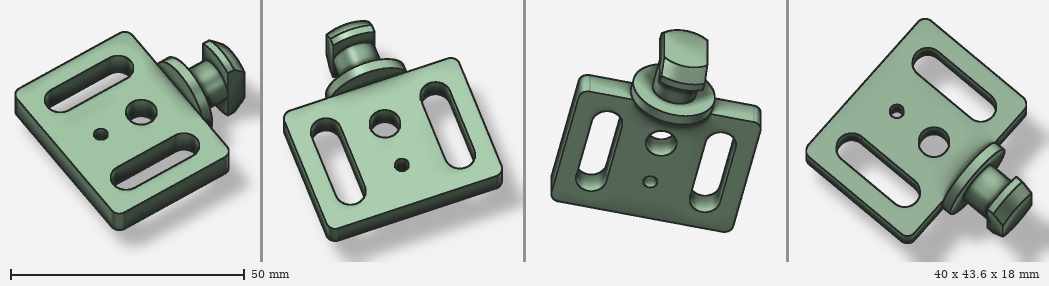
import cadquery as cq

PLATE_WIDTH = 40.0
PLATE_DEPTH = 30.0
PLATE_THICKNESS = 6.0
CORNER_RADIUS = 2.0

SLOT_WIDTH = 6.6
SLOT_CENTRE_DISTANCE = 15.0
SLOT_OFFSET_X = 12.5
LARGE_HOLE_DIAMETER = 6.6
LARGE_HOLE_Y = 5.0
SMALL_HOLE_DIAMETER = 3.0
SMALL_HOLE_Y = -5.5

STUD_LENGTH = 13.6
FLANGE_DIAMETER = 18.0
FLANGE_THICKNESS = 2.3
NECK_DIAMETER = 9.5
HEAD_LENGTH = 4.4
HEAD_DIAMETER = 18.0
HEAD_RIM_LENGTH = 1.7
HEAD_TIP_DIAMETER = 13.0
HEAD_WIDTH = NECK_DIAMETER

STUD_START_Y = PLATE_DEPTH / 2
FLANGE_END_Y = STUD_START_Y + FLANGE_THICKNESS
STUD_END_Y = STUD_START_Y + STUD_LENGTH
HEAD_START_Y = STUD_END_Y - HEAD_LENGTH
HEAD_RIM_END_Y = HEAD_START_Y + HEAD_RIM_LENGTH


def make_plate():
    """Rounded plate with two slots and two holes through its thickness."""
    slot_length = SLOT_CENTRE_DISTANCE + SLOT_WIDTH
    plate = cq.Workplane("XY").box(PLATE_WIDTH, PLATE_DEPTH, PLATE_THICKNESS)
    plate = plate.edges("|Z").fillet(CORNER_RADIUS)
    top = plate.faces(">Z").workplane(origin=(0, 0, 0))
    plate = top.pushPoints([(-SLOT_OFFSET_X, 0), (SLOT_OFFSET_X, 0)]).slot2D(
        slot_length, SLOT_WIDTH, angle=90
    ).cutThruAll()
    for diameter, y in (
        (LARGE_HOLE_DIAMETER, LARGE_HOLE_Y),
        (SMALL_HOLE_DIAMETER, SMALL_HOLE_Y),
    ):
        plate = plate.faces(">Z").workplane(origin=(0, 0, 0)).center(0, y).hole(diameter)
    return plate


def make_disc(diameter, start_y, end_y):
    """Cylinder about the Y axis between two Y positions."""
    disc = cq.Workplane("XZ", origin=(0, start_y, 0)).circle(diameter / 2)
    return disc.extrude(start_y - end_y)


def make_head():
    """Rimmed cone about the Y axis, trimmed by two flats to a narrow T-head."""
    profile = (
        cq.Workplane("XY")
        .moveTo(0, HEAD_START_Y)
        .lineTo(HEAD_DIAMETER / 2, HEAD_START_Y)
        .lineTo(HEAD_DIAMETER / 2, HEAD_RIM_END_Y)
        .lineTo(HEAD_TIP_DIAMETER / 2, STUD_END_Y)
        .lineTo(0, STUD_END_Y)
        .close()
    )
    head = profile.revolve(360, (0, 0, 0), (0, 1, 0))
    head_middle_y = (HEAD_START_Y + STUD_END_Y) / 2
    between_flats = cq.Workplane("XY", origin=(0, head_middle_y, 0)).box(
        HEAD_WIDTH, HEAD_LENGTH, HEAD_DIAMETER
    )
    return head.intersect(between_flats)


flange = make_disc(FLANGE_DIAMETER, STUD_START_Y, FLANGE_END_Y)
neck = make_disc(NECK_DIAMETER, FLANGE_END_Y, HEAD_START_Y)
result = make_plate().union(flange).union(neck).union(make_head())